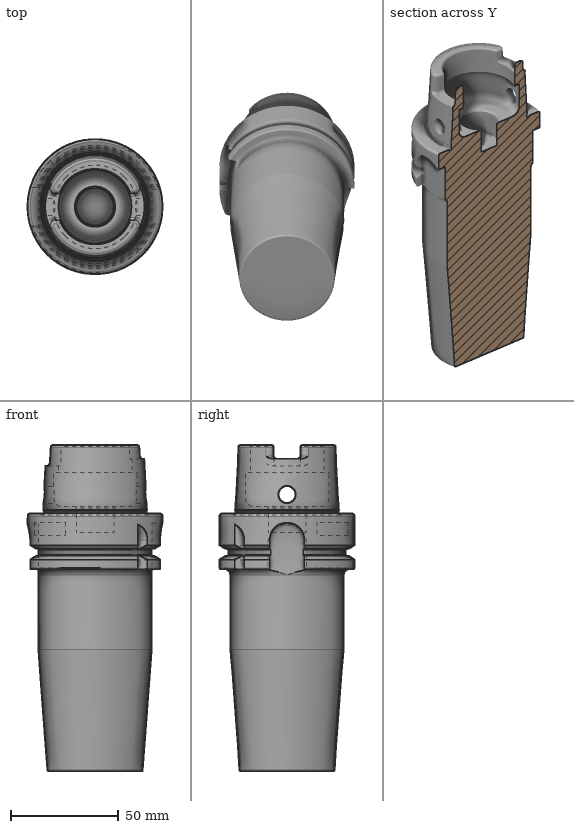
import cadquery as cq
import math


SHANK_HEIGHT = 31.9
SHANK_TOP_RADIUS = 22.6
SHANK_BASE_RADIUS = 24.3
SHANK_RIM_FILLET = 1.2

RELIEF_RADIUS = 24.0
RELIEF_TOP = 1.8
RELIEF_FLANK_HEIGHT = 0.5
RECESS_RIM_RADIUS = 25.5
RECESS_DEPTH = 0.6

FLANGE_RADIUS = 31.5
FLANGE_HEIGHT = 26.0
FLANGE_TOP_FILLET = 1.2
FLANGE_BOTTOM_FILLET = 0.8
GROOVE_RADIUS = 27.5
GROOVE_TOP = -16.4
GROOVE_BOTTOM = -19.8
GROOVE_FLANK_WIDTH = 2.7
GROOVE_FLANK_HEIGHT = 1.7
GROOVE_CORNER_FILLET = 0.5

TOTAL_LENGTH = 152.0
BODY_RADIUS = 26.5
BODY_ROOT_FILLET = 2.5
BODY_TAPER_START = -63.2
BODY_END_RADIUS = 22.2
BODY_END_FILLET = 0.9
BODY_END = SHANK_HEIGHT - TOTAL_LENGTH

BORE_RADIUS = 17.0
MOUTH_CHAMFER = 0.6
LIP_BOTTOM = 19.2
CLAMP_RADIUS = 19.5
CLAMP_FLOOR = 3.3
CLAMP_FLOOR_FILLET = 3.8
CENTRE_HOLE_RADIUS = 8.7
CENTRE_HOLE_CHAMFER = 0.8
CENTRE_HOLE_DEPTH = 12.2

DRIVE_HALF_WIDTH = 6.2
DRIVE_CORNER_RADIUS = 2.6
DRIVE_FLOOR_FILLET = 1.4
DEEP_DRIVE_DEPTH = 9.7
SHALLOW_DRIVE_DEPTH = 6.4
DEEP_DRIVE_FLOOR = SHANK_HEIGHT - DEEP_DRIVE_DEPTH
SHALLOW_DRIVE_FLOOR = SHANK_HEIGHT - SHALLOW_DRIVE_DEPTH

CROSS_HOLE_RADIUS = 4.0
CROSS_HOLE_Z = 8.8

WIDE_SLOT_RADIUS = 9.0
WIDE_SLOT_CENTRE_Z = -13.8
NARROW_SLOT_RADIUS = 8.0
NARROW_SLOT_CENTRE_Z = -12.3
NOTCH_OFFSET = 19.9
FLAT_DISTANCE = 29.8
FLAT_TOP = -4.1
FLAT_HEIGHT = 6.1
FLAT_ANGLE = 135.0

CLEARANCE = 7.6
TOLERANCE = 0.02
OUTER_REACH = FLANGE_RADIUS + CLEARANCE


def shank_radius(z):
    """Radius of the shank taper at height z."""
    return SHANK_BASE_RADIUS + (SHANK_TOP_RADIUS - SHANK_BASE_RADIUS) * z / SHANK_HEIGHT


def make_blank():
    """Revolved outer shape with a sharp rim at the shank end."""
    top_r = FLANGE_TOP_FILLET
    low_r = FLANGE_BOTTOM_FILLET
    root_r = BODY_ROOT_FILLET
    groove_r = GROOVE_CORNER_FILLET
    flank_r = FLANGE_RADIUS - GROOVE_FLANK_WIDTH
    profile = (
        cq.Workplane("XZ")
        .moveTo(0, BODY_END)
        .lineTo(BODY_END_RADIUS, BODY_END)
        .lineTo(BODY_RADIUS, BODY_TAPER_START)
        .lineTo(BODY_RADIUS, -FLANGE_HEIGHT - root_r)
        .radiusArc((BODY_RADIUS + root_r, -FLANGE_HEIGHT), root_r)
        .lineTo(FLANGE_RADIUS - low_r, -FLANGE_HEIGHT)
        .radiusArc((FLANGE_RADIUS, -FLANGE_HEIGHT + low_r), -low_r)
        .lineTo(FLANGE_RADIUS, GROOVE_BOTTOM - GROOVE_FLANK_HEIGHT)
        .lineTo(flank_r, GROOVE_BOTTOM)
        .lineTo(GROOVE_RADIUS + groove_r, GROOVE_BOTTOM)
        .radiusArc((GROOVE_RADIUS, GROOVE_BOTTOM + groove_r), groove_r)
        .lineTo(GROOVE_RADIUS, GROOVE_TOP - groove_r)
        .radiusArc((GROOVE_RADIUS + groove_r, GROOVE_TOP), groove_r)
        .lineTo(flank_r, GROOVE_TOP)
        .lineTo(FLANGE_RADIUS, GROOVE_TOP + GROOVE_FLANK_HEIGHT)
        .lineTo(FLANGE_RADIUS, -top_r)
        .radiusArc((FLANGE_RADIUS - top_r, 0), -top_r)
        .lineTo(RECESS_RIM_RADIUS, 0)
        .lineTo(RECESS_RIM_RADIUS - RECESS_DEPTH, -RECESS_DEPTH)
        .lineTo(RELIEF_RADIUS, -RECESS_DEPTH)
        .lineTo(RELIEF_RADIUS, RELIEF_TOP - RELIEF_FLANK_HEIGHT)
        .lineTo(shank_radius(RELIEF_TOP), RELIEF_TOP)
        .lineTo(SHANK_TOP_RADIUS, SHANK_HEIGHT)
        .lineTo(0, SHANK_HEIGHT)
        .close()
    )
    blank = profile.revolve(360, (0, 0, 0), (0, 1, 0))
    return blank.faces("<Z").edges().fillet(BODY_END_FILLET)


def make_bore():
    """Revolved hollow of the shank with its chamfered mouth."""
    hole_bottom = CLAMP_FLOOR - CENTRE_HOLE_DEPTH
    return (
        cq.Workplane("XZ")
        .moveTo(0, hole_bottom)
        .lineTo(CENTRE_HOLE_RADIUS, hole_bottom)
        .lineTo(CENTRE_HOLE_RADIUS, CLAMP_FLOOR - CENTRE_HOLE_CHAMFER)
        .lineTo(CENTRE_HOLE_RADIUS + CENTRE_HOLE_CHAMFER, CLAMP_FLOOR)
        .lineTo(CLAMP_RADIUS - CLAMP_FLOOR_FILLET, CLAMP_FLOOR)
        .radiusArc((CLAMP_RADIUS, CLAMP_FLOOR + CLAMP_FLOOR_FILLET), -CLAMP_FLOOR_FILLET)
        .lineTo(CLAMP_RADIUS, LIP_BOTTOM)
        .lineTo(BORE_RADIUS, LIP_BOTTOM)
        .lineTo(BORE_RADIUS, SHANK_HEIGHT - MOUTH_CHAMFER)
        .lineTo(BORE_RADIUS + MOUTH_CHAMFER, SHANK_HEIGHT)
        .lineTo(0, SHANK_HEIGHT)
        .close()
        .revolve(360, (0, 0, 0), (0, 1, 0))
    )


def cut_drive_slot(body, side, floor_z):
    """Open slot from the axis out to one side (+1 or -1 along X), with rounded wall corners and floor."""
    height = SHANK_HEIGHT - floor_z + CLEARANCE
    cutter = (
        cq.Workplane("XY")
        .box(OUTER_REACH, 2 * DRIVE_HALF_WIDTH, height, centered=(True, True, False))
        .translate((side * OUTER_REACH / 2, 0, floor_z))
    )
    slotted = body.cut(cutter)

    def on_wall(edge):
        middle = edge.Center()
        return side * middle.x > 0 and math.isclose(abs(middle.y), DRIVE_HALF_WIDTH, abs_tol=TOLERANCE)

    def is_outer_corner(edge):
        return on_wall(edge) and edge.startPoint().z != edge.endPoint().z

    def is_floor_edge(edge):
        return on_wall(edge) and math.isclose(edge.Center().z, floor_z, abs_tol=TOLERANCE)

    slotted = slotted.edges().filter(is_outer_corner).fillet(DRIVE_CORNER_RADIUS)
    return slotted.edges().filter(is_floor_edge).fillet(DRIVE_FLOOR_FILLET)


def make_flange_slot(radius, centre_y, centre_z, floor_x):
    """Round-topped cutter on the +X side, with a flat floor at floor_x, open below the flange."""
    bottom_z = -FLANGE_HEIGHT - BODY_ROOT_FILLET - CLEARANCE
    return (
        cq.Workplane("YZ", origin=(floor_x, 0, 0))
        .moveTo(centre_y - radius, bottom_z)
        .lineTo(centre_y - radius, centre_z)
        .threePointArc((centre_y, centre_z + radius), (centre_y + radius, centre_z))
        .lineTo(centre_y + radius, bottom_z)
        .close()
        .extrude(OUTER_REACH - floor_x)
    )


def half_turn(shape):
    """Turn a +X cutter round to the -X side."""
    return shape.rotate((0, 0, 0), (0, 0, 1), 180)


result = make_blank()
result = cut_drive_slot(result, -1, DEEP_DRIVE_FLOOR)
result = cut_drive_slot(result, 1, SHALLOW_DRIVE_FLOOR)
result = result.faces(">Z").edges().fillet(SHANK_RIM_FILLET)
result = result.cut(make_bore())
cross_hole = (
    cq.Workplane("YZ", origin=(-OUTER_REACH, 0, CROSS_HOLE_Z))
    .circle(CROSS_HOLE_RADIUS)
    .extrude(2 * OUTER_REACH)
)
result = result.cut(cross_hole)

wide_slot = make_flange_slot(WIDE_SLOT_RADIUS, 0, WIDE_SLOT_CENTRE_Z, BODY_RADIUS)
narrow_slot = make_flange_slot(NARROW_SLOT_RADIUS, 0, NARROW_SLOT_CENTRE_Z, BODY_RADIUS)
corner_notch = make_flange_slot(
    NARROW_SLOT_RADIUS, -NOTCH_OFFSET - NARROW_SLOT_RADIUS, NARROW_SLOT_CENTRE_Z, NOTCH_OFFSET
)
marking_flat = (
    cq.Workplane("XY")
    .box(CLEARANCE, 2 * FLANGE_RADIUS, FLAT_HEIGHT, centered=(False, True, False))
    .translate((FLAT_DISTANCE, 0, FLAT_TOP - FLAT_HEIGHT))
    .rotate((0, 0, 0), (0, 0, 1), FLAT_ANGLE)
)
result = result.cut(half_turn(wide_slot)).cut(narrow_slot).cut(corner_notch).cut(marking_flat)